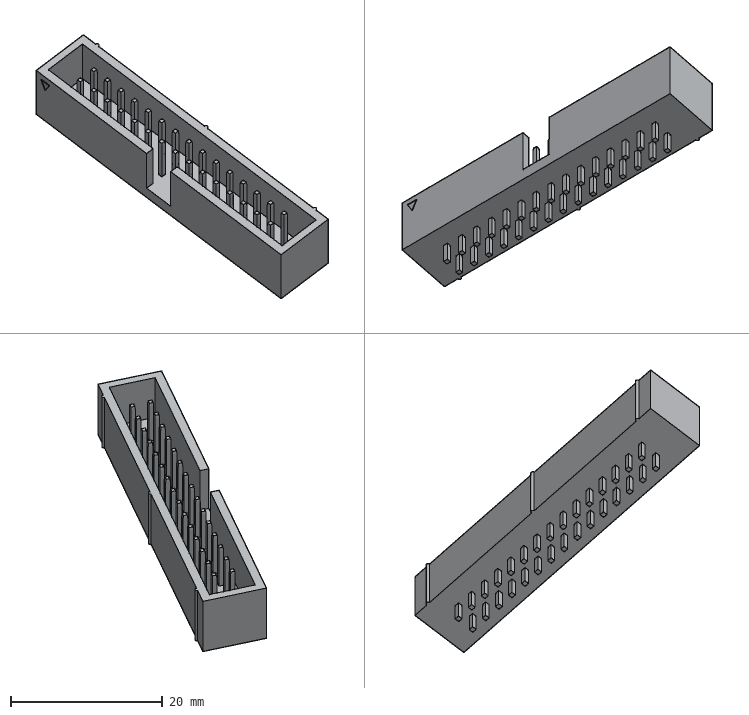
import cadquery as cq
import math


length = 45.75
width = 8.85
height = 8.85
end_wall = 1.05
side_wall = 1.25
floor_thickness = 1.88
slot_width = 4.5

pin_rows = 2
pins_per_row = 15
row_span = 35.55
pitch = row_span / (pins_per_row - 1)
pin_size = 0.65
tail_length = 3.0
tip_gap = 0.3
tip_height = 0.5
tip_inset = 0.055

ridge_radius = 0.27
ridge_spacing = 20.3

mark_width = 1.55
mark_height = 1.55
mark_thickness = 0.1
mark_left_gap = 0.95
mark_top_gap = 1.0


def make_housing():
    """Box with an open cavity and a key slot through the front wall."""
    inner_height = height - floor_thickness
    body = cq.Workplane("XY").box(length, width, height, centered=(True, True, False))
    cavity = (
        cq.Workplane("XY", origin=(0, 0, floor_thickness))
        .rect(length - 2 * end_wall, width - 2 * side_wall)
        .extrude(inner_height)
    )
    slot = (
        cq.Workplane("XY", origin=(0, -width / 4, floor_thickness))
        .rect(slot_width, width / 2)
        .extrude(inner_height)
    )
    return body.cut(cavity).cut(slot)


def pin_squares(z):
    """Workplane at height z holding the square outline of every pin."""
    grid = cq.Workplane("XY", origin=(0, 0, z)).rarray(pitch, pitch, pins_per_row, pin_rows)
    return grid.rect(pin_size, pin_size)


def make_pins():
    """Two rows of square pins with tapered tips."""
    shaft_top = height - tip_gap - tip_height
    taper_angle = math.degrees(math.atan2(tip_inset, tip_height))
    shafts = pin_squares(-tail_length).extrude(tail_length + shaft_top)
    tips = pin_squares(shaft_top).extrude(tip_height, taper=taper_angle)
    return shafts.union(tips)


def make_ridge(x):
    """Round ridge, half sunk in the back wall, running its full height."""
    return cq.Workplane("XY", origin=(x, width / 2, 0)).circle(ridge_radius).extrude(height)


def make_mark():
    """Raised triangle pointing down, near the top left of the front wall."""
    left = -length / 2 + mark_left_gap
    top = height - mark_top_gap
    return (
        cq.Workplane("XZ", origin=(0, -width / 2, 0))
        .moveTo(left, top)
        .lineTo(left + mark_width, top)
        .lineTo(left + mark_width / 2, top - mark_height)
        .close()
        .extrude(mark_thickness)
    )


result = make_housing().union(make_pins()).union(make_mark())
for ridge_x in (-ridge_spacing, 0, ridge_spacing):
    result = result.union(make_ridge(ridge_x))